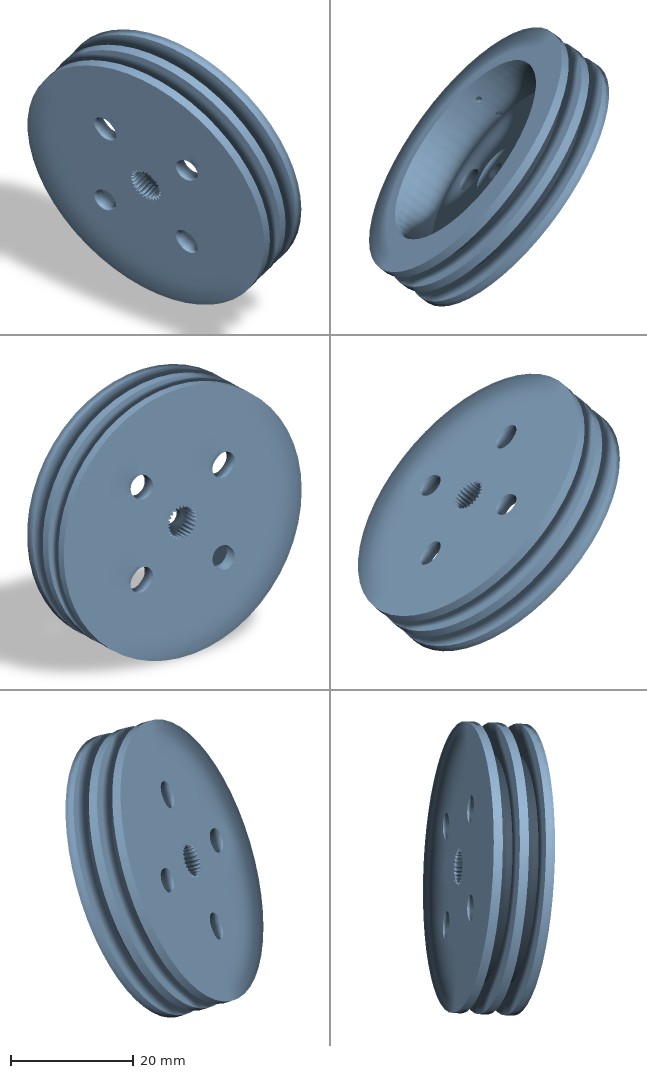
import cadquery as cq
import math

flange_diameter = 47.85
flange_thickness = 1.55
groove_diameter = 38.0
groove_width = 2.85
total_width = 3 * flange_thickness + 2 * groove_width
groove_pitch = flange_thickness + groove_width
front_y = -total_width / 2

tooth_count = 25
spline_tip_radius = 3.05
spline_root_radius = 2.65
tip_flat_share = 0.2
root_flat_share = 0.4
spline_depth = 2.85
bore_diameter = 3.05

web_thickness = 2.3
wall_thickness = 1.5
hub_floor_thickness = 1.0
pocket_diameter = groove_diameter - 2 * wall_thickness
hub_diameter = 2 * (spline_tip_radius + wall_thickness)
hub_length = spline_depth + hub_floor_thickness

slot_count = 4
slot_width = 4.0
slot_length = 4.65
slot_circle_radius = 11.65

cord_hole_diameter = 1.05


def disc(diameter, start_y, thickness):
    """Solid disc on the Y axis, growing towards +Y from start_y."""
    plane = cq.Workplane("XZ", origin=(0, start_y, 0))
    return plane.circle(diameter / 2).extrude(-thickness)


def pulley_body():
    """Grooved drum with a flange at each end and one between the grooves."""
    body = disc(groove_diameter, front_y, total_width)
    for index in range(3):
        body = body.union(disc(flange_diameter, front_y + index * groove_pitch, flange_thickness))
    return body


def hollow():
    """Ring-shaped space around the hub, open over the end of the hub."""
    pocket = disc(pocket_diameter, front_y + web_thickness, total_width - web_thickness)
    return pocket.cut(disc(hub_diameter, front_y, hub_length))


def spline_socket():
    """Cutter with flat-tipped teeth and flat roots, one tooth centred on +X."""
    pitch_angle = 2 * math.pi / tooth_count
    half_tip = tip_flat_share * pitch_angle / 2
    half_root = root_flat_share * pitch_angle / 2
    points = []
    for index in range(tooth_count):
        centre = index * pitch_angle
        corners = (
            (spline_tip_radius, centre - half_tip),
            (spline_tip_radius, centre + half_tip),
            (spline_root_radius, centre + pitch_angle / 2 - half_root),
            (spline_root_radius, centre + pitch_angle / 2 + half_root),
        )
        for radius, angle in corners:
            points.append((radius * math.cos(angle), radius * math.sin(angle)))
    plane = cq.Workplane("XZ", origin=(0, front_y, 0))
    return plane.polyline(points).close().extrude(-spline_depth)


def radial_slots():
    """Slots on the diagonals, cut through the web only."""
    plane = cq.Workplane("XZ", origin=(0, front_y, 0))
    first_angle = 180 / slot_count
    slots = plane.polarArray(slot_circle_radius, first_angle, 360, slot_count)
    return slots.slot2D(slot_length, slot_width).extrude(-web_thickness)


def cord_hole(centre_y):
    """Hole from the groove floor at the top into the hollow."""
    start_z = pocket_diameter / 2 - wall_thickness
    plane = cq.Workplane("XY", origin=(0, centre_y, start_z))
    return plane.circle(cord_hole_diameter / 2).extrude(2 * wall_thickness)


result = pulley_body()
result = result.cut(hollow())
result = result.cut(disc(bore_diameter, front_y, total_width))
result = result.cut(spline_socket())
result = result.cut(radial_slots())
for side in (-1, 1):
    result = result.cut(cord_hole(side * groove_pitch / 2))